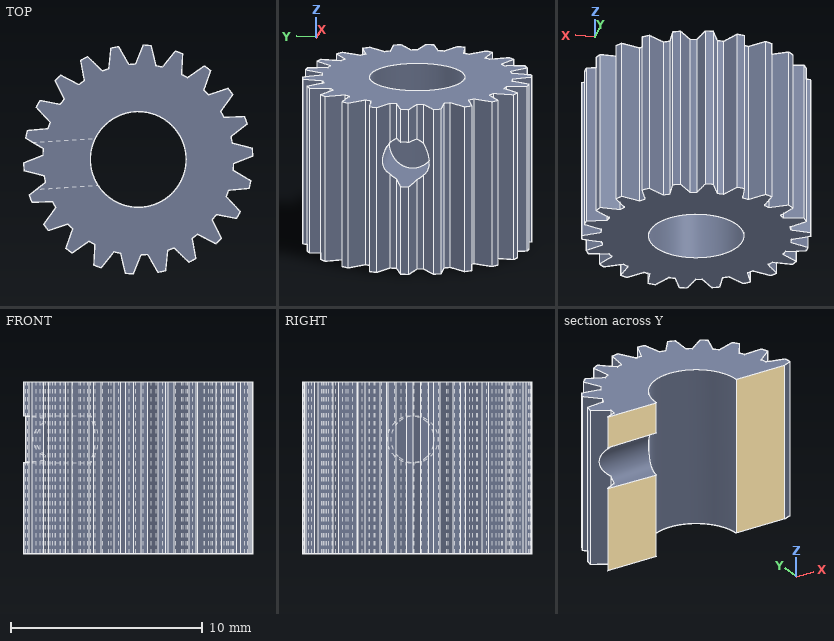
import cadquery as cq
import math

module = 0.5
tooth_count = 22
pitch_radius = module * tooth_count / 2
tip_radius = pitch_radius + module
root_radius = pitch_radius - module
tip_width = 0.42
root_width = 1.08
tooth_pitch_angle = 360 / tooth_count
first_tooth_angle = 3.68

face_width = 9.0
bore_diameter = 5.0

screw_hole_diameter = 2.46
screw_hole_height = 6.0
drill_clearance = 0.5
screw_tooth_index = tooth_count // 2
screw_hole_angle = first_tooth_angle + screw_tooth_index * tooth_pitch_angle


def polar(radius, angle):
    """Point at a radius and an angle in degrees."""
    return (radius * math.cos(math.radians(angle)), radius * math.sin(math.radians(angle)))


def half_angle(width, radius):
    """Half the angle, in degrees, that a chord of this width spans at a radius."""
    return math.degrees(math.asin(width / 2 / radius))


def make_toothed_body():
    """Extruded gear outline: straight flanks with round tips and root lands."""
    tip_half_angle = half_angle(tip_width, tip_radius)
    root_half_angle = half_angle(root_width, root_radius)
    outline = cq.Workplane("XY").moveTo(*polar(root_radius, first_tooth_angle - root_half_angle))
    for tooth in range(tooth_count):
        center = first_tooth_angle + tooth * tooth_pitch_angle
        next_root_start = center + tooth_pitch_angle - root_half_angle
        outline = (
            outline.lineTo(*polar(tip_radius, center - tip_half_angle))
            .threePointArc(polar(tip_radius, center), polar(tip_radius, center + tip_half_angle))
            .lineTo(*polar(root_radius, center + root_half_angle))
            .threePointArc(
                polar(root_radius, center + tooth_pitch_angle / 2),
                polar(root_radius, next_root_start),
            )
        )
    return outline.close().extrude(face_width)


def make_bore():
    """Cylinder along the gear axis through the full face width."""
    return cq.Workplane("XY").circle(bore_diameter / 2).extrude(face_width)


def make_screw_hole():
    """Cylinder from the gear axis outward through the chosen tooth."""
    outward = cq.Vector(*polar(1, screw_hole_angle), 0)
    start = cq.Vector(0, 0, screw_hole_height)
    hole_plane = cq.Plane(origin=start, xDir=cq.Vector(0, 0, 1), normal=outward)
    return cq.Workplane(hole_plane).circle(screw_hole_diameter / 2).extrude(tip_radius + drill_clearance)


result = make_toothed_body().cut(make_bore()).cut(make_screw_hole())